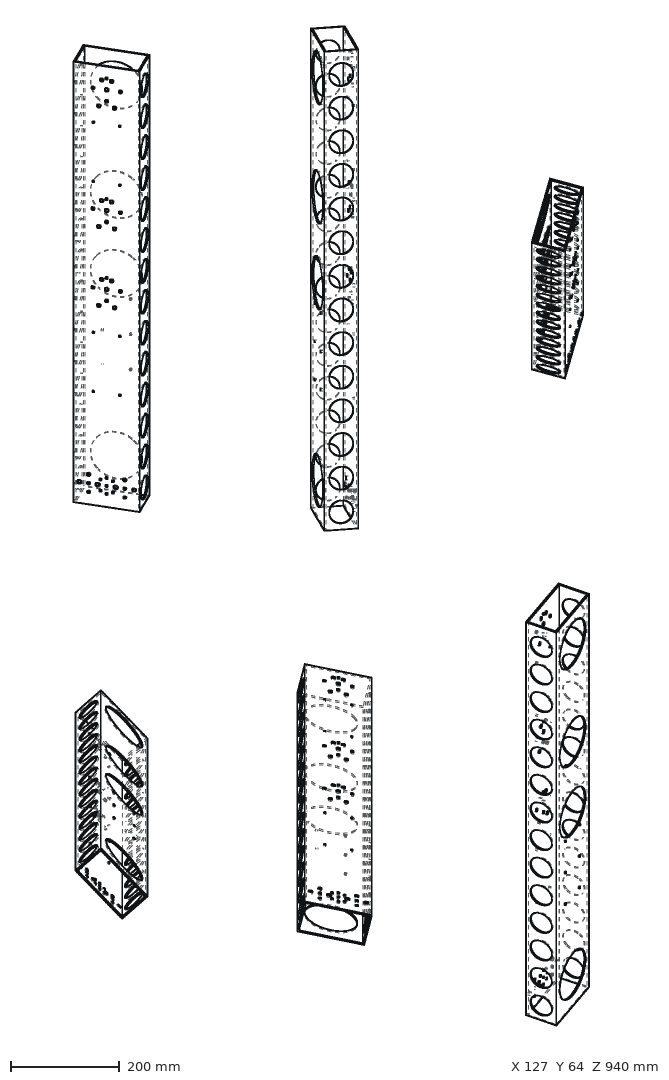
import cadquery as cq
import math

WIDTH = 127.0
DEPTH = 64.0
HEIGHT = 940.0
WALL = 3.2

SIDE_HOLE_DIAMETER = 45.0
SIDE_HOLE_COUNT = 14
SIDE_HOLE_FIRST_Z = 35.0
SIDE_HOLE_LAST_Z = 893.0
SIDE_HOLE_PITCH = (SIDE_HOLE_LAST_Z - SIDE_HOLE_FIRST_Z) / (SIDE_HOLE_COUNT - 1)

BOLT_DIAMETER = 7.0
LARGE_DIAMETER = 7.5
PIN_DIAMETER = 4.5
SMALL_BOLT_DIAMETER = 6.0

LOWER_MOUNT_Z = 464.0
MIDDLE_MOUNT_Z = 633.0
UPPER_MOUNT_Z = 890.0
MOUNT_PIN_OFFSET = 24.0
UPPER_BOLT_X = 9.0
UPPER_BOLT_RISE = 20.0
SIDE_BOLT_X = 26.0
LOWER_BOLT_X = 15.0
LOWER_BOLT_DROP = 37.0

SCREW_DIAMETER = 3.5
SCREW_X = 25.0
SCREW_PITCH_Z = 126.0
SCREW_GROUP_BASES_Z = [242.5, 691.0]

FOOT_Z = 45.0
FOOT_RING_RADIUS = 17.0
FOOT_RING_COUNT = 8
FOOT_COLUMN_DIAMETER = 5.5
FOOT_INNER_X = 18.0
FOOT_INNER_PIN_X = 15.0
FOOT_COLUMN_X = 35.0
FOOT_COLUMN_OFFSET_Z = 19.0
FOOT_OUTER_X = 53.0

ACCESS_DIAMETER = 100.0
BOTTOM_ACCESS_Z = 76.0
TOP_ACCESS_Z = 867.0
ACCESS_CENTRES_Z = [BOTTOM_ACCESS_Z, LOWER_MOUNT_Z, MIDDLE_MOUNT_Z, TOP_ACCESS_Z]

BACK_HOLE_DIAMETER = 4.5
BACK_HOLE_X = 27.0
BACK_HOLE_FIRST_Z = 264.0
BACK_HOLE_PITCH = 75.0
BACK_HOLE_ROWS = 3


def mirrored(x, z):
    """The point and its mirror image about the tube's middle plane."""
    return [(-x, z), (x, z)]


def front_cutter(points, diameter):
    """Cylinders through the front wall only, at (x, z) points."""
    return (
        cq.Workplane("XZ", origin=(0, -DEPTH / 2 + 2 * WALL, 0))
        .pushPoints(points)
        .circle(diameter / 2)
        .extrude(3 * WALL)
    )


def back_cutter(points, diameter):
    """Cylinders through the back wall only, at (x, z) points."""
    return cq.Workplane("XZ").pushPoints(points).circle(diameter / 2).extrude(-DEPTH)


def make_tube():
    return (
        cq.Workplane("XY")
        .rect(WIDTH, DEPTH)
        .rect(WIDTH - 2 * WALL, DEPTH - 2 * WALL)
        .extrude(HEIGHT)
    )


def cut_side_holes(body):
    points = [(0, SIDE_HOLE_FIRST_Z + i * SIDE_HOLE_PITCH) for i in range(SIDE_HOLE_COUNT)]
    holes = (
        cq.Workplane("YZ")
        .pushPoints(points)
        .circle(SIDE_HOLE_DIAMETER / 2)
        .extrude(WIDTH, both=True)
    )
    return body.cut(holes)


def cut_back_wall(body):
    access_points = [(0, z) for z in ACCESS_CENTRES_Z]
    small_points = []
    for row in range(BACK_HOLE_ROWS):
        small_points += mirrored(BACK_HOLE_X, BACK_HOLE_FIRST_Z + row * BACK_HOLE_PITCH)
    body = body.cut(back_cutter(access_points, ACCESS_DIAMETER))
    return body.cut(back_cutter(small_points, BACK_HOLE_DIAMETER))


def cut_mount(body, z):
    """One mounting pattern around its centre hole at height z."""
    upper_bolts = mirrored(UPPER_BOLT_X, z + UPPER_BOLT_RISE)
    lower_bolts = mirrored(LOWER_BOLT_X, z - LOWER_BOLT_DROP)
    lower_pin = [(0, z - MOUNT_PIN_OFFSET)]
    upper_pin = [(0, z + MOUNT_PIN_OFFSET)]
    body = body.cut(front_cutter([(0, z)], LARGE_DIAMETER))
    body = body.cut(front_cutter(upper_bolts + lower_bolts, BOLT_DIAMETER))
    body = body.cut(front_cutter(mirrored(SIDE_BOLT_X, z) + lower_pin, SMALL_BOLT_DIAMETER))
    return body.cut(front_cutter(upper_pin, PIN_DIAMETER))


def cut_screws(body, base_z):
    points = mirrored(SCREW_X, base_z) + mirrored(SCREW_X, base_z + SCREW_PITCH_Z)
    return body.cut(front_cutter(points, SCREW_DIAMETER))


def cut_foot(body):
    """Ring of pins with large holes over its sides, flanked by columns of holes and outer holes."""
    ring = []
    for i in range(FOOT_RING_COUNT):
        angle = 2 * math.pi * i / FOOT_RING_COUNT
        x = FOOT_RING_RADIUS * math.cos(angle)
        z = FOOT_Z + FOOT_RING_RADIUS * math.sin(angle)
        ring.append((x, z))
    large = mirrored(FOOT_INNER_X, FOOT_Z) + mirrored(FOOT_OUTER_X, FOOT_Z)
    column_top = mirrored(FOOT_COLUMN_X, FOOT_Z + FOOT_COLUMN_OFFSET_Z)
    column_middle = mirrored(FOOT_COLUMN_X, FOOT_Z)
    column_bottom = mirrored(FOOT_COLUMN_X, FOOT_Z - FOOT_COLUMN_OFFSET_Z)
    body = body.cut(front_cutter(ring + [(0, FOOT_Z)], PIN_DIAMETER))
    body = body.cut(front_cutter(mirrored(FOOT_INNER_PIN_X, FOOT_Z), PIN_DIAMETER))
    body = body.cut(front_cutter(large, LARGE_DIAMETER))
    body = body.cut(front_cutter(column_top, BOLT_DIAMETER))
    return body.cut(front_cutter(column_middle + column_bottom, FOOT_COLUMN_DIAMETER))


result = make_tube()
result = cut_side_holes(result)
result = cut_back_wall(result)
for mount_z in (LOWER_MOUNT_Z, MIDDLE_MOUNT_Z, UPPER_MOUNT_Z):
    result = cut_mount(result, mount_z)
for screw_base_z in SCREW_GROUP_BASES_Z:
    result = cut_screws(result, screw_base_z)
result = cut_foot(result)